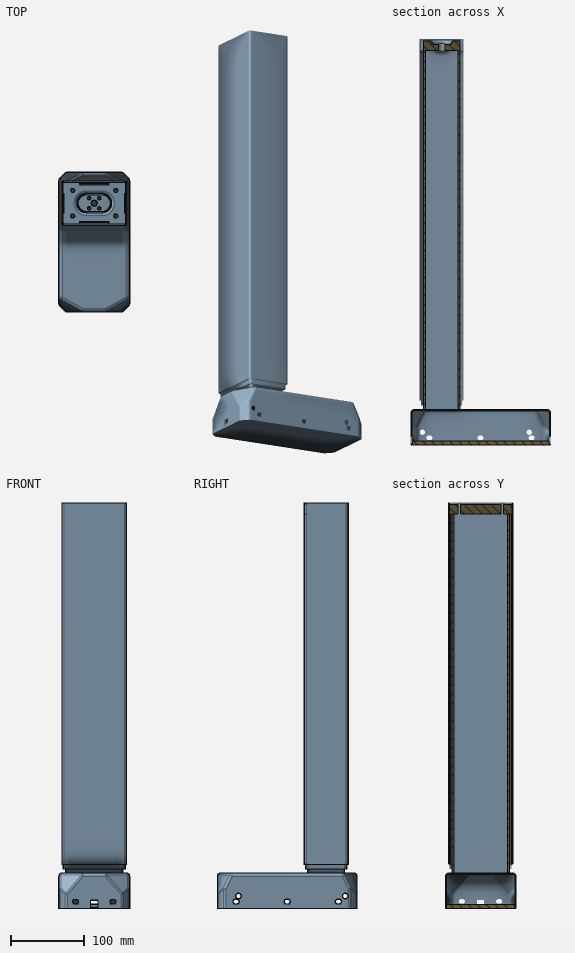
import cadquery as cq
import math


FOOT_WIDTH = 96.0
FOOT_LENGTH = 190.0
FOOT_HEIGHT = 48.5
COVER_WALL = 2.0
COVER_FILLET = 5.0
EDGE_CUT = 10.0
FACET_X = 35.0
FACET_Y = 19.0
FACET_Z = 40.0

SCREW_SLOT_LENGTH = 8.0
SCREW_SLOT_WIDTH = 6.0
SCREW_SLOT_Z = 9.5
SIDE_SCREW_Y = 69.5
FRONT_SCREW_X = 25.5
VENT_DIAMETER = 7.0
VENT_Z = 17.0
VENT_YS = (78.5, -66.0)
WINDOW_WIDTH = 10.0
WINDOW_BOTTOM = 1.5
WINDOW_TOP = 11.0

BASE_PLATE_THICKNESS = 6.0

COLUMN_Y = 53.0
COLUMN_TOP = 550.0
OUTER_WALL = 1.5
MIDDLE_WALL = 1.5
TUBE_CORNER_RADIUS = 3.5
OUTER_WIDTH = 88.0
OUTER_DEPTH = 60.0
OUTER_BOTTOM = 60.0
MIDDLE_WIDTH = 84.5
MIDDLE_DEPTH = 56.0
MIDDLE_BOTTOM = 53.5
INNER_WIDTH = 78.0
INNER_DEPTH = 50.0
INNER_WALL = 3.5
INNER_CORNER_RADIUS = 2.0

RIM_HEIGHT = 1.5
PLATE_TOP = COLUMN_TOP - RIM_HEIGHT
PLATE_THICKNESS = 14.0
PLATE_BOTTOM = PLATE_TOP - PLATE_THICKNESS
PLATE_WIDTH = OUTER_WIDTH - 2 * OUTER_WALL
PLATE_DEPTH = OUTER_DEPTH - 2 * OUTER_WALL
PLATE_CORNER_RADIUS = TUBE_CORNER_RADIUS - OUTER_WALL
LONG_SLOT_LENGTH = 39.0
LONG_SLOT_DEPTH = 3.5
SHORT_SLOT_LENGTH = 26.0
SHORT_SLOT_DEPTH = 1.5
PLATE_HOLE_DIAMETER = 5.5
PLATE_HOLE_SPACING_X = 58.5
PLATE_HOLE_SPACING_Y = 34.5
RECESS_LENGTH = 47.5
RECESS_WIDTH = 26.0
RECESS_DEPTH = 4.5
FLOOR_STEP_WIDTH = 1.5
FLOOR_DEPTH = 5.0
RECESS_FILLET = 4.0
SHAFT_HOLE_DIAMETER = 8.0
RECESS_HOLE_DIAMETER = 4.5
RECESS_HOLE_SPACING = 14.0

SIGNS = (-1, 1)


def corner_cutter(sign_x, sign_y, slopes, inset):
    """Block lying beyond a slanted plane at one top corner of the foot.

    slopes holds one over the distance the plane cuts off along X, Y and Z.
    inset moves the plane towards the inside of the foot.
    """
    size = math.hypot(*slopes)
    normal = cq.Vector(sign_x * slopes[0], sign_y * slopes[1], slopes[2]) / size
    start = cq.Vector(sign_x * (FOOT_WIDTH / 2 - 1 / slopes[0]), sign_y * FOOT_LENGTH / 2, FOOT_HEIGHT)
    plane = cq.Plane(origin=start - normal * inset, normal=normal)
    return cq.Workplane(plane).rect(2 * FOOT_LENGTH, 2 * FOOT_LENGTH).extrude(FOOT_WIDTH)


def foot_form(inset):
    """Faceted, rounded foot block with every face except the bottom moved in by inset."""
    form = cq.Workplane("XY").box(
        FOOT_WIDTH - 2 * inset, FOOT_LENGTH - 2 * inset, FOOT_HEIGHT - inset, centered=(True, True, False)
    )
    upright_slopes = (1 / EDGE_CUT, 1 / EDGE_CUT, 0)
    facet_slopes = (1 / FACET_X, 1 / FACET_Y, 1 / FACET_Z)
    for sign_x in SIGNS:
        for sign_y in SIGNS:
            for slopes in (upright_slopes, facet_slopes):
                form = form.cut(corner_cutter(sign_x, sign_y, slopes, inset))
    return form.edges("not(<Z)").fillet(COVER_FILLET - inset)


def make_cover(cavity):
    cover = foot_form(0).cut(cavity)

    side_screws = (
        cq.Workplane("YZ")
        .pushPoints([(y, SCREW_SLOT_Z) for y in (-SIDE_SCREW_Y, 0, SIDE_SCREW_Y)])
        .slot2D(SCREW_SLOT_LENGTH, SCREW_SLOT_WIDTH)
        .extrude(FOOT_WIDTH, both=True)
    )
    side_vents = (
        cq.Workplane("YZ")
        .pushPoints([(y, VENT_Z) for y in VENT_YS])
        .circle(VENT_DIAMETER / 2)
        .extrude(FOOT_WIDTH, both=True)
    )
    front_screws = (
        cq.Workplane("XZ")
        .pushPoints([(sign * FRONT_SCREW_X, SCREW_SLOT_Z) for sign in SIGNS])
        .slot2D(SCREW_SLOT_LENGTH, SCREW_SLOT_WIDTH)
        .extrude(FOOT_LENGTH)
    )
    end_windows = (
        cq.Workplane("XY", origin=(0, 0, WINDOW_BOTTOM))
        .rect(WINDOW_WIDTH, 2 * FOOT_LENGTH)
        .extrude(WINDOW_TOP - WINDOW_BOTTOM)
    )
    return cover.cut(side_screws).cut(side_vents).cut(front_screws).cut(end_windows)


def make_base_plate(cavity):
    slab = cq.Workplane("XY").rect(FOOT_WIDTH, FOOT_LENGTH).extrude(BASE_PLATE_THICKNESS)
    return slab.intersect(cavity)


def column_block(width, depth, radius, bottom, top):
    """Upright rectangular block on the column axis with rounded upright edges."""
    return (
        cq.Workplane("XY", origin=(0, COLUMN_Y, bottom))
        .rect(width, depth)
        .extrude(top - bottom)
        .edges("|Z")
        .fillet(radius)
    )


def make_tube(width, depth, wall, radius, bottom, top):
    """Column tube whose bore has rounded corners where the wall is thinner than the corner radius."""
    outside = column_block(width, depth, radius, bottom, top)
    bore = (
        cq.Workplane("XY", origin=(0, COLUMN_Y, bottom))
        .rect(width - 2 * wall, depth - 2 * wall)
        .extrude(top - bottom)
    )
    if wall < radius:
        bore = bore.edges("|Z").fillet(radius - wall)
    return outside.cut(bore)


def make_top_plate():
    plate = column_block(PLATE_WIDTH, PLATE_DEPTH, PLATE_CORNER_RADIUS, PLATE_BOTTOM, PLATE_TOP)
    base = cq.Workplane("XY", origin=(0, COLUMN_Y, PLATE_BOTTOM))

    surface = cq.Workplane("XY", origin=(0, COLUMN_Y, PLATE_TOP))
    recess = surface.slot2D(RECESS_LENGTH, RECESS_WIDTH).extrude(-RECESS_DEPTH)
    plate = plate.cut(recess)
    rim = plate.faces(">Z").val().innerWires()[0]
    plate = plate.newObject(rim.Edges()).fillet(RECESS_FILLET)

    floor = surface.slot2D(
        RECESS_LENGTH - 2 * FLOOR_STEP_WIDTH, RECESS_WIDTH - 2 * FLOOR_STEP_WIDTH
    ).extrude(-FLOOR_DEPTH)

    long_slots = (
        base.pushPoints([(0, sign * PLATE_DEPTH / 2) for sign in SIGNS])
        .rect(LONG_SLOT_LENGTH, 2 * LONG_SLOT_DEPTH)
        .extrude(PLATE_THICKNESS)
    )
    short_slots = (
        base.pushPoints([(sign * PLATE_WIDTH / 2, 0) for sign in SIGNS])
        .rect(2 * SHORT_SLOT_DEPTH, SHORT_SLOT_LENGTH)
        .extrude(PLATE_THICKNESS)
    )

    corner_holes = (
        base.rect(PLATE_HOLE_SPACING_X, PLATE_HOLE_SPACING_Y, forConstruction=True)
        .vertices()
        .circle(PLATE_HOLE_DIAMETER / 2)
        .extrude(PLATE_THICKNESS)
    )
    recess_holes = (
        base.rect(RECESS_HOLE_SPACING, RECESS_HOLE_SPACING, forConstruction=True)
        .vertices()
        .circle(RECESS_HOLE_DIAMETER / 2)
        .extrude(PLATE_THICKNESS)
    )
    shaft_hole = base.circle(SHAFT_HOLE_DIAMETER / 2).extrude(PLATE_THICKNESS)

    for cutter in (floor, long_slots, short_slots, corner_holes, recess_holes, shaft_hole):
        plate = plate.cut(cutter)
    return plate


foot_cavity = foot_form(COVER_WALL)
cover = make_cover(foot_cavity)
base_plate = make_base_plate(foot_cavity)
outer_tube = make_tube(
    OUTER_WIDTH, OUTER_DEPTH, OUTER_WALL, TUBE_CORNER_RADIUS, OUTER_BOTTOM, COLUMN_TOP
)
middle_tube = make_tube(
    MIDDLE_WIDTH, MIDDLE_DEPTH, MIDDLE_WALL, TUBE_CORNER_RADIUS, MIDDLE_BOTTOM, PLATE_BOTTOM
)
inner_tube = make_tube(
    INNER_WIDTH, INNER_DEPTH, INNER_WALL, INNER_CORNER_RADIUS, FOOT_HEIGHT, PLATE_BOTTOM
)
top_plate = make_top_plate()

result = cq.Compound.makeCompound(
    [
        cover.val(),
        base_plate.val(),
        outer_tube.val(),
        middle_tube.val(),
        inner_tube.val(),
        top_plate.val(),
    ]
)